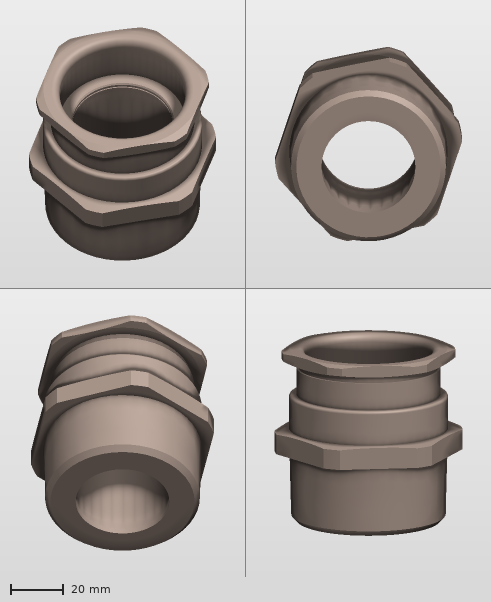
import cadquery as cq
import math


SPIGOT_CHAMFER_TOP = 2.15
HEX_BOTTOM = 27.2
HEX_TOP = 35.8
COLLAR_TOP = 49.0

SPIGOT_TIP_RADIUS = 27.4
SPIGOT_LOW_RADIUS = 29.4
SPIGOT_HIGH_RADIUS = 30.0
COLLAR_RADIUS = 30.25
COLLAR_EDGE_FILLET = 1.1
BODY_HEX_FLATS = 65.0
BODY_HEX_CORNERS = 71.5
BODY_HEX_CORNER_DROP = 1.0

BORE_BOTTOM_RADIUS = 17.8
THROAT_RADIUS = 19.0
THROAT_HEIGHT = 2.0

NUT_TOP = 66.8
NUT_HEAD_BOTTOM = 62.3
NUT_SHANK_TOP = 59.35
NUT_FLOOR_TOP = 48.7
NUT_FLOOR_THICKNESS = 2.0
NUT_BOTTOM = NUT_FLOOR_TOP - NUT_FLOOR_THICKNESS

NUT_SHANK_RADIUS = 27.4
NUT_NECK_RADIUS = 26.5
NUT_BORE_RADIUS = 23.9
NUT_MOUTH_FILLET = 3.0
NUT_FLOOR_HOLE_RADIUS = THROAT_RADIUS
NUT_FLOOR_HOLE_CHAMFER = 0.5
NUT_HEX_FLATS = 60.05
NUT_HEX_CORNERS = 66.1
NUT_HEX_CORNER_DROP = 0.8


def revolve_profile(points):
    """Revolve a closed (radius, height) outline about the Z axis."""
    return cq.Workplane("XZ").polyline(points).close().revolve(360, (0, 0, 0), (0, 1, 0))


def hex_prism(across_flats, bottom, top):
    """Sharp hexagonal prism with two flats facing -X and +X."""
    sharp_corners = across_flats / math.cos(math.radians(30))
    return (
        cq.Workplane("XY", origin=(0, 0, bottom))
        .transformed(rotate=(0, 0, 30))
        .polygon(6, sharp_corners)
        .extrude(top - bottom)
    )


def make_body_hex():
    """Body hexagon: rounded corners, and a top that slopes down outward from the collar."""
    corner_radius = BODY_HEX_CORNERS / 2
    envelope = revolve_profile([
        (0, HEX_BOTTOM),
        (corner_radius, HEX_BOTTOM),
        (corner_radius, HEX_TOP - BODY_HEX_CORNER_DROP),
        (COLLAR_RADIUS, HEX_TOP),
        (0, HEX_TOP),
    ])
    return hex_prism(BODY_HEX_FLATS, HEX_BOTTOM, HEX_TOP).intersect(envelope)


def make_body():
    """Tapered spigot, hexagon and collar, bored through, with a seat for the nut."""
    spigot = revolve_profile([
        (0, 0),
        (SPIGOT_TIP_RADIUS, 0),
        (SPIGOT_LOW_RADIUS, SPIGOT_CHAMFER_TOP),
        (SPIGOT_HIGH_RADIUS, HEX_BOTTOM),
        (0, HEX_BOTTOM),
    ])
    collar = (
        cq.Workplane("XY", origin=(0, 0, HEX_BOTTOM))
        .circle(COLLAR_RADIUS)
        .extrude(COLLAR_TOP - HEX_BOTTOM)
        .faces(">Z")
        .edges()
        .fillet(COLLAR_EDGE_FILLET)
    )
    bore_and_seat = revolve_profile([
        (0, 0),
        (BORE_BOTTOM_RADIUS, 0),
        (THROAT_RADIUS, NUT_BOTTOM - THROAT_HEIGHT),
        (THROAT_RADIUS, NUT_BOTTOM),
        (NUT_SHANK_RADIUS, NUT_BOTTOM),
        (NUT_SHANK_RADIUS, COLLAR_TOP),
        (0, COLLAR_TOP),
    ])
    return spigot.union(make_body_hex()).union(collar).cut(bore_and_seat)


def make_nut_head():
    """Nut hexagon with rounded corners, bevelled above and below."""
    corner_radius = NUT_HEX_CORNERS / 2
    bevel_radius = NUT_HEX_FLATS / 2
    envelope = revolve_profile([
        (0, NUT_HEAD_BOTTOM),
        (bevel_radius, NUT_HEAD_BOTTOM),
        (corner_radius, NUT_HEAD_BOTTOM + NUT_HEX_CORNER_DROP),
        (corner_radius, NUT_TOP - NUT_HEX_CORNER_DROP),
        (bevel_radius, NUT_TOP),
        (0, NUT_TOP),
    ])
    return hex_prism(NUT_HEX_FLATS, NUT_HEAD_BOTTOM, NUT_TOP).intersect(envelope)


def make_nut_cavity():
    """Bore with a flared mouth, and a floor hole chamfered on both edges."""
    chamfered_radius = NUT_FLOOR_HOLE_RADIUS + NUT_FLOOR_HOLE_CHAMFER
    mouth_radius = NUT_BORE_RADIUS + NUT_MOUTH_FILLET
    return (
        cq.Workplane("XZ")
        .moveTo(0, NUT_BOTTOM)
        .lineTo(chamfered_radius, NUT_BOTTOM)
        .lineTo(NUT_FLOOR_HOLE_RADIUS, NUT_BOTTOM + NUT_FLOOR_HOLE_CHAMFER)
        .lineTo(NUT_FLOOR_HOLE_RADIUS, NUT_FLOOR_TOP - NUT_FLOOR_HOLE_CHAMFER)
        .lineTo(chamfered_radius, NUT_FLOOR_TOP)
        .lineTo(NUT_BORE_RADIUS, NUT_FLOOR_TOP)
        .lineTo(NUT_BORE_RADIUS, NUT_TOP - NUT_MOUTH_FILLET)
        .radiusArc((mouth_radius, NUT_TOP), NUT_MOUTH_FILLET)
        .lineTo(0, NUT_TOP)
        .close()
        .revolve(360, (0, 0, 0), (0, 1, 0))
    )


def make_nut():
    """Gland nut: hexagon head, relieved neck and a shank that sits in the body."""
    shank = revolve_profile([
        (0, NUT_BOTTOM),
        (NUT_SHANK_RADIUS, NUT_BOTTOM),
        (NUT_SHANK_RADIUS, NUT_SHANK_TOP),
        (NUT_NECK_RADIUS, NUT_SHANK_TOP),
        (NUT_NECK_RADIUS, NUT_HEAD_BOTTOM),
        (0, NUT_HEAD_BOTTOM),
    ])
    return shank.union(make_nut_head()).cut(make_nut_cavity())


body = make_body()
nut = make_nut()

result = cq.Compound.makeCompound([body.solids().val(), nut.solids().val()])